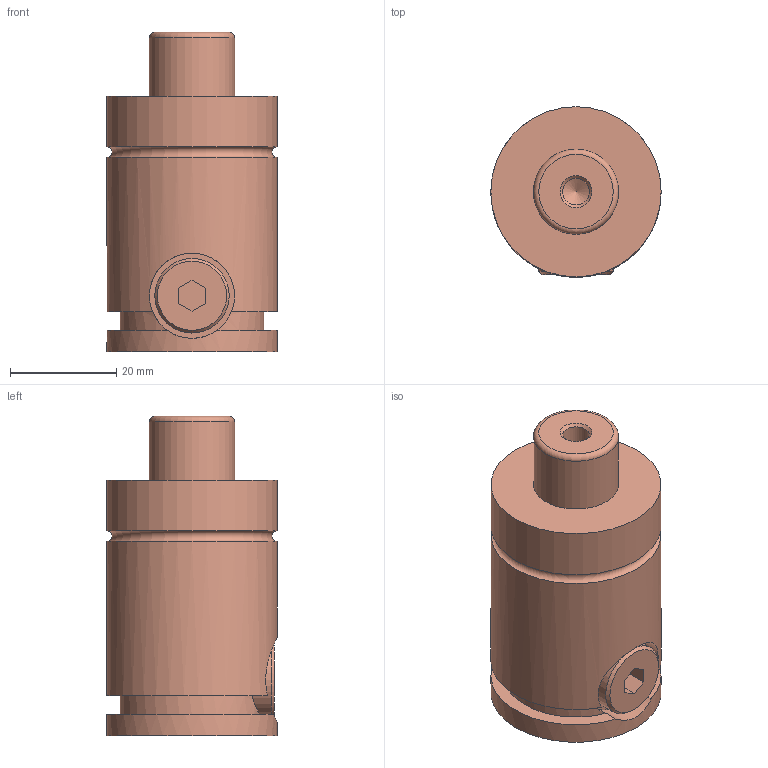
import cadquery as cq
import math

body_diameter = 32
body_height = 48
body_radius = body_diameter / 2

base_groove_diameter = 27
base_groove_bottom = 4
base_groove_top = 7.5

round_groove_radius = 1
round_groove_height = 37.5

rod_diameter = 16
rod_length = 12
rod_fillet = 1
rod_top = body_height + rod_length

rod_hole_diameter = 5
rod_hole_mouth_diameter = 6
rod_hole_depth = 12
drill_tip_angle = 118

plug_height = 10.5
plug_pocket_diameter = 16
plug_pocket_floor = 11
plug_diameter = 14
plug_face = 15.5
plug_chamfer_width = 0.5
plug_chamfer_length = 0.6
hex_across_flats = 5
hex_depth = 4


def make_body():
    """Cylinder with its two grooves, turned about Z."""
    groove_radius = base_groove_diameter / 2
    profile = (
        cq.Workplane("XZ")
        .lineTo(body_radius, 0)
        .lineTo(body_radius, base_groove_bottom)
        .lineTo(groove_radius, base_groove_bottom)
        .lineTo(groove_radius, base_groove_top)
        .lineTo(body_radius, base_groove_top)
        .lineTo(body_radius, round_groove_height - round_groove_radius)
        .threePointArc(
            (body_radius - round_groove_radius, round_groove_height),
            (body_radius, round_groove_height + round_groove_radius),
        )
        .lineTo(body_radius, body_height)
        .lineTo(0, body_height)
        .close()
    )
    return profile.revolve(360, (0, 0, 0), (0, 1, 0))


def make_rod():
    """Rod with a rounded end, sitting on top of the body."""
    rod = cq.Workplane("XY", origin=(0, 0, body_height)).circle(rod_diameter / 2).extrude(rod_length)
    return rod.faces(">Z").edges().fillet(rod_fillet)


def make_rod_hole():
    """Drilled hole with a conical tip and a 45 degree countersunk mouth."""
    radius = rod_hole_diameter / 2
    mouth_radius = rod_hole_mouth_diameter / 2
    mouth_depth = mouth_radius - radius
    hole_bottom = rod_top - rod_hole_depth
    tip_length = radius / math.tan(math.radians(drill_tip_angle / 2))
    profile = (
        cq.Workplane("XZ")
        .moveTo(0, rod_top)
        .lineTo(mouth_radius, rod_top)
        .lineTo(radius, rod_top - mouth_depth)
        .lineTo(radius, hole_bottom)
        .lineTo(0, hole_bottom - tip_length)
        .close()
    )
    return profile.revolve(360, (0, 0, 0), (0, 1, 0))


def plug_plane(distance):
    """Plane facing -Y, centred on the plug axis at a distance from the body axis."""
    return cq.Workplane("XZ", origin=(0, -distance, plug_height))


def make_plug_pocket():
    """Round pocket cut from its floor out past the body surface."""
    return plug_plane(plug_pocket_floor).circle(plug_pocket_diameter / 2).extrude(body_radius)


def make_plug():
    """Screw head with a chamfered rim and a hexagon socket."""
    plug_length = plug_face - plug_pocket_floor
    head = plug_plane(plug_pocket_floor).circle(plug_diameter / 2).extrude(plug_length)
    rim = head.faces("<Y").edges()
    head = rim.chamfer(plug_chamfer_length, plug_chamfer_width)
    hex_across_corners = hex_across_flats / math.cos(math.radians(30))
    socket = (
        plug_plane(plug_face - hex_depth)
        .transformed(rotate=(0, 0, 90))
        .polygon(6, hex_across_corners)
        .extrude(hex_depth)
    )
    return head.cut(socket)


result = make_body().union(make_rod()).cut(make_rod_hole())
result = result.cut(make_plug_pocket()).union(make_plug())